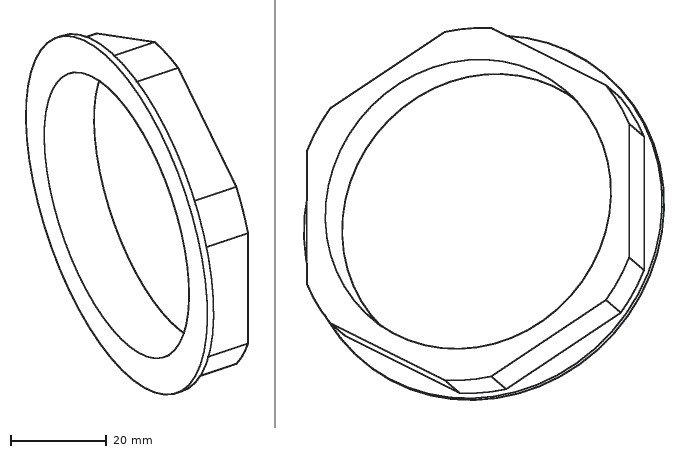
import cadquery as cq
import math

flange_diameter = 79.0
bore_diameter = 63.0
total_depth = 12.0
flange_thickness = 1.5

across_flats = 71.0
corner_diameter = 76.8
across_corners = across_flats / math.cos(math.radians(30))

front_y = -total_depth / 2
body_depth = total_depth - flange_thickness


def section(start_y):
    """Sketch plane at start_y whose extrusions run toward +Y."""
    return cq.Workplane(cq.Plane(origin=(0, start_y, 0), xDir=(0, 0, 1), normal=(0, 1, 0)))


def make_flange():
    return section(front_y).circle(flange_diameter / 2).extrude(flange_thickness)


def make_body():
    """Hexagon with flats facing +X and -X, trimmed by the corner circle."""
    body_y = front_y + flange_thickness
    hexagon = section(body_y).polygon(6, across_corners).extrude(body_depth)
    corner_round = section(body_y).circle(corner_diameter / 2).extrude(body_depth)
    return hexagon.intersect(corner_round)


bore = section(front_y).circle(bore_diameter / 2).extrude(total_depth)

result = make_flange().union(make_body()).cut(bore)